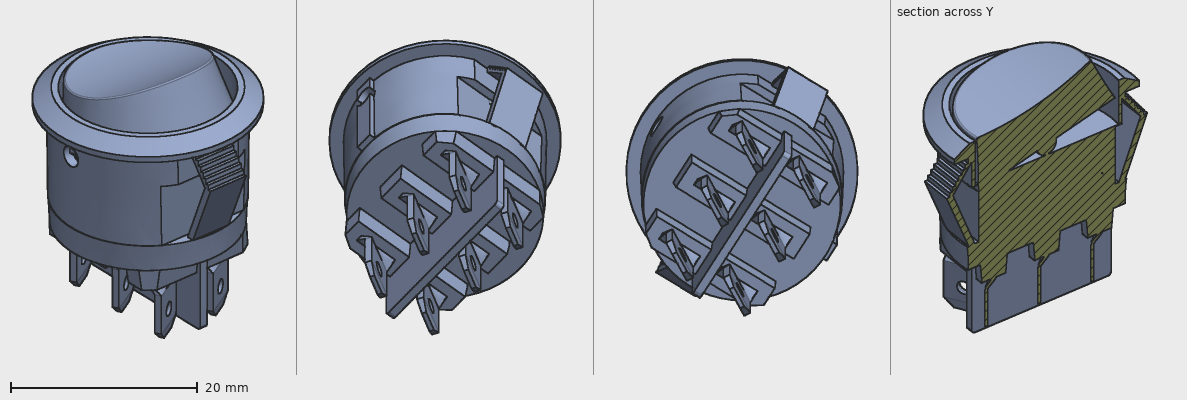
import cadquery as cq


FLANGE_RADIUS = 12.4
FLANGE_RIM = 0.7
FLANGE_HEIGHT = 1.97
FLANGE_TOP_RADIUS = 10.35
BODY_TOP_RADIUS = 10.88
BODY_BOTTOM_RADIUS = 10.75
COLLAR_TOP_RADIUS = 10.7
COLLAR_BOTTOM_RADIUS = 10.55
COLLAR_TOP = -11.45
COLLAR_BOTTOM = -14.65
UPPER_FLAT_X = 10.0
LOWER_FLAT_X = 9.1
FLAT_STEP_Z = -4.0
BORE_RADIUS = 19.2 / 2
BORE_FLOOR = -3.82
KEY_WIDTH = 2.1
KEY_Y = 11.35

PIVOT_Z = -2.5
PIVOT_HOLE_DIAMETER = 2.4
PIVOT_PIN_DIAMETER = 1.9
PIVOT_PIN_END_Y = 10.15
ROCKER_TILT = 14.4
ROCKER_BASE_RADIUS = 9.48
ROCKER_RIM_RADIUS = 7.97
ROCKER_RIM_HEIGHT = 7.0
ROCKER_FLAT_Y = 8.97
ROCKER_DISH_DEPTH = 1.0
ROCKER_EDGE_FILLET = 0.18

CLIP_WIDTH = 5.0
CLIP_SPAN = 26.7
CLIP_TIP_X = CLIP_SPAN / 2
CLIP_ELBOW_X = 12.42
CLIP_BEND_Z = -3.97
CLIP_STEPS = 7
CLIP_TOP_X = 10.45
CLIP_STEP_RUN = (CLIP_TIP_X - CLIP_TOP_X) / CLIP_STEPS
CLIP_INNER_TOP_Z = -0.7
CLIP_FOOT_OUTER_X = 10.42
CLIP_FOOT_INNER_X = 9.55

BARRIER_WIDTH = 18.55
BARRIER_THICKNESS = 0.95
BARRIER_BOTTOM = -24.03
BARRIER_CORNER = 0.48

TERMINAL_PITCH = 7.03
BASE_WIDTH = 3.65
BASE_END_Y = 7.55
BASE_BOTTOM = -17.1
BASE_DRAFT = 0.2
BASE_CORNER_X = 1.42
BASE_CORNER_Y = 1.73

ROW_SPACING = 7.25
ROW_OFFSET = 0.15
BLADE_WIDTH = 4.75
BLADE_THICKNESS = 0.75
BLADE_TWIST = 30.0
BLADE_TWIST_END = -18.15
BLADE_BOTTOM = -24.12
BLADE_CORNER = 1.18
BLADE_TIP_THINNING = 0.12
BLADE_HOLE_DIAMETER = 1.6
BLADE_HOLE_Z = -21.12


def box_between(x0, x1, y0, y1, z0, z1):
    return cq.Workplane("XY").box(x1 - x0, y1 - y0, z1 - z0, centered=False).translate((x0, y0, z0))


def housing():
    shell = (
        cq.Workplane("XZ")
        .moveTo(0, COLLAR_BOTTOM)
        .lineTo(COLLAR_BOTTOM_RADIUS, COLLAR_BOTTOM)
        .lineTo(COLLAR_TOP_RADIUS, COLLAR_TOP)
        .lineTo(BODY_BOTTOM_RADIUS, COLLAR_TOP)
        .lineTo(BODY_TOP_RADIUS, 0)
        .lineTo(FLANGE_RADIUS, 0)
        .lineTo(FLANGE_RADIUS, FLANGE_RIM)
        .lineTo(FLANGE_TOP_RADIUS, FLANGE_HEIGHT)
        .lineTo(0, FLANGE_HEIGHT)
        .close()
        .revolve(360, (0, 0, 0), (0, 1, 0))
    )
    bore_depth = FLANGE_HEIGHT - BORE_FLOOR
    bore = cq.Workplane("XY").workplane(offset=BORE_FLOOR).circle(BORE_RADIUS).extrude(bore_depth)
    shell = shell.cut(bore)
    r = FLANGE_RADIUS
    for flat_x, low, high in ((UPPER_FLAT_X, FLAT_STEP_Z, 0), (LOWER_FLAT_X, COLLAR_TOP, FLAT_STEP_Z)):
        shell = shell.cut(box_between(flat_x, r, -r, r, low, high))
        shell = shell.cut(box_between(-r, -flat_x, -r, r, low, high))
    key_root_y = (BORE_RADIUS + BODY_BOTTOM_RADIUS) / 2
    key = box_between(-KEY_WIDTH / 2, KEY_WIDTH / 2, key_root_y, KEY_Y, COLLAR_TOP, 0)
    pivot_hole = (
        cq.Workplane("XZ", origin=(0, 0, PIVOT_Z))
        .circle(PIVOT_HOLE_DIAMETER / 2)
        .extrude(FLANGE_RADIUS, both=True)
    )
    return shell.union(key).cut(pivot_hole)


def pivot_pin():
    """Pin on the -Y side; the half below the axis slopes back at 45 degrees."""
    radius = PIVOT_PIN_DIAMETER / 2
    root_y = ROCKER_FLAT_Y - radius
    pin = cq.Workplane("XZ", origin=(0, -root_y, 0)).circle(radius).extrude(PIVOT_PIN_END_Y - root_y)
    bevel = (
        cq.Workplane("YZ")
        .polyline([
            (-PIVOT_PIN_END_Y, 0),
            (-PIVOT_PIN_END_Y, -radius),
            (-PIVOT_PIN_END_Y + radius, -radius),
        ])
        .close()
        .extrude(radius, both=True)
    )
    return pin.cut(bevel)


def rocker():
    """Built upright about the pivot axis, then tilted toward -X."""
    cap = (
        cq.Workplane("XZ")
        .polyline([
            (0, 0),
            (ROCKER_BASE_RADIUS, 0),
            (ROCKER_RIM_RADIUS, ROCKER_RIM_HEIGHT),
            (0, ROCKER_RIM_HEIGHT),
        ])
        .close()
        .revolve(360, (0, 0, 0), (0, 1, 0))
    )
    dish_radius = (ROCKER_RIM_RADIUS**2 + ROCKER_DISH_DEPTH**2) / (2 * ROCKER_DISH_DEPTH)
    dish_axis_z = ROCKER_RIM_HEIGHT - ROCKER_DISH_DEPTH + dish_radius
    dish = (
        cq.Workplane("XZ", origin=(0, 0, dish_axis_z))
        .circle(dish_radius)
        .extrude(2 * ROCKER_BASE_RADIUS, both=True)
    )
    cap = cap.cut(dish)
    dish_low_point = (0, 0, ROCKER_RIM_HEIGHT - ROCKER_DISH_DEPTH)
    dish_face = cap.faces(cq.selectors.NearestToPointSelector(dish_low_point))
    cap = dish_face.edges().fillet(ROCKER_EDGE_FILLET)
    r = ROCKER_BASE_RADIUS
    cap = cap.intersect(box_between(-r, r, -ROCKER_FLAT_Y, ROCKER_FLAT_Y, 0, ROCKER_RIM_HEIGHT))
    hub = cq.Workplane("XZ").circle(PIVOT_Z - BORE_FLOOR).extrude(ROCKER_FLAT_Y, both=True)
    cap = cap.union(hub)
    pin = pivot_pin()
    cap = cap.union(pin).union(pin.mirror("XZ"))
    return cap.rotate((0, 0, 0), (0, 1, 0), -ROCKER_TILT).translate((0, 0, PIVOT_Z))


def spring_clip():
    """Clip on the +X side: stepped upper arm and plain lower arm."""
    rise = -CLIP_BEND_Z / CLIP_STEPS
    outline = [(CLIP_FOOT_INNER_X, COLLAR_TOP), (CLIP_FOOT_OUTER_X, COLLAR_TOP), (CLIP_TIP_X, CLIP_BEND_Z)]
    for step in range(CLIP_STEPS):
        x = CLIP_TIP_X - (step + 1) * CLIP_STEP_RUN
        z = CLIP_BEND_Z + step * rise
        outline += [(x, z), (x, z + rise)]
    outline += [(UPPER_FLAT_X, 0), (UPPER_FLAT_X, CLIP_INNER_TOP_Z), (CLIP_ELBOW_X, CLIP_BEND_Z)]
    return cq.Workplane("XZ").polyline(outline).close().extrude(CLIP_WIDTH / 2, both=True)


def barrier():
    height = COLLAR_BOTTOM - BARRIER_BOTTOM
    return (
        cq.Workplane("XY")
        .workplane(offset=BARRIER_BOTTOM)
        .rect(BARRIER_WIDTH, BARRIER_THICKNESS)
        .extrude(height)
        .edges("|Y and <Z")
        .fillet(BARRIER_CORNER)
    )


def drafted_base(outline):
    """Loft from the full outline under the body to the inset outline below."""
    return (
        cq.Workplane("XY")
        .workplane(offset=COLLAR_BOTTOM)
        .polyline(outline(0))
        .close()
        .workplane(offset=BASE_BOTTOM - COLLAR_BOTTOM)
        .polyline(outline(BASE_DRAFT))
        .close()
        .loft(ruled=True)
    )


def middle_base():
    def outline(inset):
        half = BASE_WIDTH / 2 - inset
        front = -BASE_END_Y + inset
        return [(-half, front), (half, front), (half, BASE_END_Y), (-half, BASE_END_Y)]

    return drafted_base(outline)


def outer_base():
    """Base on the +X side, with both outer corners cut off."""
    def outline(inset):
        inner = TERMINAL_PITCH - BASE_WIDTH / 2 + inset
        outer = TERMINAL_PITCH + BASE_WIDTH / 2 - inset
        front = -BASE_END_Y + inset
        corner_x = TERMINAL_PITCH + BASE_WIDTH / 2 - BASE_CORNER_X + inset
        corner_y = BASE_END_Y - BASE_CORNER_Y + inset
        return [
            (inner, front),
            (corner_x, front),
            (outer, -corner_y),
            (outer, corner_y),
            (corner_x, BASE_END_Y),
            (inner, BASE_END_Y),
        ]

    return drafted_base(outline)


def blade():
    """One terminal on the Z axis: twisted neck, flat blade, tapered tip."""
    neck = (
        cq.Workplane("XY")
        .workplane(offset=BASE_BOTTOM)
        .rect(BLADE_THICKNESS, BLADE_WIDTH)
        .workplane(offset=BLADE_TWIST_END - BASE_BOTTOM)
        .transformed(rotate=(0, 0, BLADE_TWIST))
        .rect(BLADE_THICKNESS, BLADE_WIDTH)
        .loft(ruled=True)
    )
    half_width = BLADE_WIDTH / 2
    half_thickness = BLADE_THICKNESS / 2
    tip_top = BLADE_BOTTOM + BLADE_CORNER
    flat = (
        cq.Workplane("YZ")
        .polyline([
            (-half_width, BLADE_TWIST_END),
            (-half_width, tip_top),
            (-half_width + BLADE_CORNER, BLADE_BOTTOM),
            (half_width - BLADE_CORNER, BLADE_BOTTOM),
            (half_width, tip_top),
            (half_width, BLADE_TWIST_END),
        ])
        .close()
        .extrude(half_thickness, both=True)
    )
    tip_half_thickness = half_thickness - BLADE_TIP_THINNING
    side_profile = (
        cq.Workplane("XZ")
        .polyline([
            (-half_thickness, BLADE_TWIST_END),
            (-half_thickness, tip_top),
            (-tip_half_thickness, BLADE_BOTTOM),
            (tip_half_thickness, BLADE_BOTTOM),
            (half_thickness, tip_top),
            (half_thickness, BLADE_TWIST_END),
        ])
        .close()
        .extrude(BLADE_WIDTH, both=True)
    )
    hole = (
        cq.Workplane("YZ", origin=(0, 0, BLADE_HOLE_Z))
        .circle(BLADE_HOLE_DIAMETER / 2)
        .extrude(BLADE_THICKNESS, both=True)
    )
    flat = flat.intersect(side_profile).cut(hole)
    return neck.union(flat.rotate((0, 0, 0), (0, 0, 1), BLADE_TWIST))


result = housing().union(rocker())
clip = spring_clip()
side_base = outer_base()
for feature in (clip, clip.mirror("YZ"), barrier(), middle_base(), side_base, side_base.mirror("YZ")):
    result = result.union(feature)
terminal = blade()
for column in (-1, 0, 1):
    for row in (-1, 1):
        position = (column * TERMINAL_PITCH, ROW_OFFSET + row * ROW_SPACING / 2, 0)
        result = result.union(terminal.translate(position))